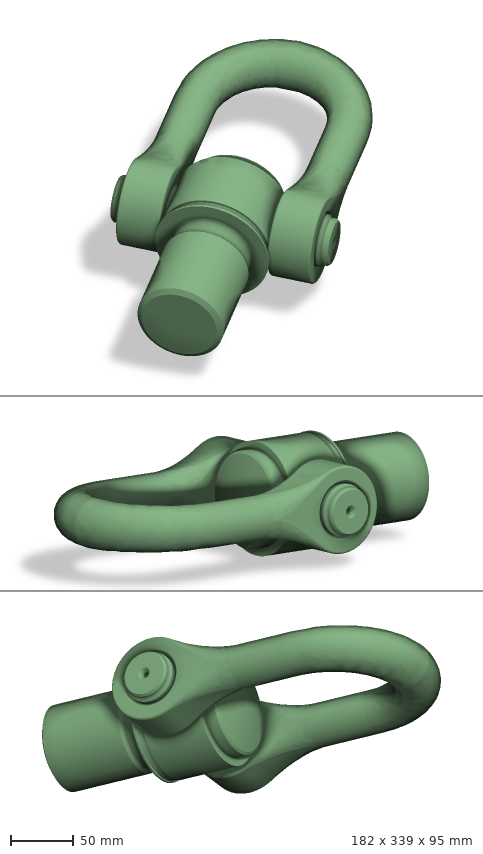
import cadquery as cq
import math


LEG_DIAMETER = 36.0
LEG_CENTER_X = 63.5
CROWN_DIAMETER = 40.5
CROWN_TOP_Y = 211.0
BOW_START_Y = 124.8
BOW_STEPS = 8
FLARE_START_Y = 73.0
FLARE_STEPS = 6
FLARE_FULLNESS = 1.4
EYE_DIAMETER = 72.0
EYE_FILLET = 2.0
SMALLEST_FLAT = 0.07

PIN_DIAMETER = 40.5
PIN_SPAN = 182.0
PIN_INNER_X = 31.5
PIN_TIP_DIAMETER = 36.0
PIN_HEAD_DIAMETER = 39.0
PIN_TIP_CHAMFER = 2.0
PIN_GROOVE_DIAMETER = 37.3
GROOVE_OUTER_X = 86.5
PIN_COLLAR_DIAMETER = 43.0
COLLAR_CYLINDER_X = 83.0
COLLAR_CONE_X = 85.5
COUNTERSINK_DIAMETER = 48.8
CENTER_HOLE_DIAMETER = 4.0
CENTER_HOLE_DEPTH = 6.8
CENTER_SINK_DIAMETER = 10.2

HOUSING_DIAMETER = 93.5
HOUSING_TOP_Y = 23.7
HOUSING_BOTTOM_Y = -30.0
HOUSING_ACROSS_FLATS = 89.5
BORE_DIAMETER = 56.3

SHANK_DIAMETER = 56.0
FLANGE_NECK_DIAMETER = 90.0
FLANGE_DIAMETER = 95.0
FLANGE_CONE_DIAMETER = 91.5
FLANGE_CONE_TOP_Y = -32.0
FLANGE_RIM_TOP_Y = -36.3
FLANGE_BOTTOM_Y = -38.0
UNDERCUT_DIAMETER = 67.0
UNDERCUT_CHAMFER = 1.0
UNDERCUT_END_Y = -52.2
THREAD_DIAMETER = 72.0
THREAD_START_Y = -55.3
THREAD_TIP_DIAMETER = 63.0
THREAD_CHAMFER = 2.7
BOLT_END_Y = -128.0

CAP_DIAMETER = 80.0
CAP_RIM_Y = 34.2
CAP_TOP_Y = 41.7
DOME_DIAMETER = 76.0
DOME_START_Y = 36.0

leg_radius = LEG_DIAMETER / 2
eye_radius = EYE_DIAMETER / 2
pin_radius = PIN_DIAMETER / 2
pin_outer_x = PIN_SPAN / 2
eye_inner_x = LEG_CENTER_X - leg_radius
eye_outer_x = LEG_CENTER_X + leg_radius

flare_radius = (FLARE_START_Y**2 + leg_radius**2 - eye_radius**2) / (2 * (eye_radius - leg_radius))
flare_end_y = FLARE_START_Y * eye_radius / (eye_radius + flare_radius)
flare_end_z = math.sqrt(eye_radius**2 - flare_end_y**2)
flare_length = FLARE_START_Y - flare_end_y

sink_bottom_x = eye_outer_x - (COUNTERSINK_DIAMETER - PIN_DIAMETER) / 2
collar_seat_x = sink_bottom_x + (PIN_COLLAR_DIAMETER - PIN_DIAMETER) / 2


def cylinder_x(diameter, x_start, x_end):
    """Cylinder on the X axis."""
    return cq.Workplane("YZ", origin=(x_start, 0, 0)).circle(diameter / 2).extrude(x_end - x_start)


def cylinder_y(diameter, y_start, y_end):
    """Cylinder on the Y axis."""
    return cq.Workplane("XZ", origin=(0, y_start, 0)).circle(diameter / 2).extrude(y_start - y_end)


def cone_x(x_start, diameter_start, x_end, diameter_end):
    """Truncated cone on the X axis."""
    profile = [(x_start, 0), (x_start, diameter_start / 2), (x_end, diameter_end / 2), (x_end, 0)]
    return cq.Workplane("XY").polyline(profile).close().revolve(360, (0, 0, 0), (1, 0, 0))


def bow_section(turn):
    """Circle across the bend, from the leg (turn = 0) to the crown (turn = 90 degrees)."""
    bend_height = CROWN_TOP_Y - CROWN_DIAMETER / 2 - BOW_START_Y
    center_x = LEG_CENTER_X * math.cos(turn)
    center_y = BOW_START_Y + bend_height * math.sin(turn)
    radius = leg_radius + (CROWN_DIAMETER - LEG_DIAMETER) / 2 * turn / (math.pi / 2)
    path_direction = cq.Vector(-LEG_CENTER_X * math.sin(turn), bend_height * math.cos(turn), 0)
    plane = cq.Plane((center_x, center_y, 0), (0, 0, -1), path_direction)
    return cq.Workplane(plane).circle(radius).wires().val()


def bow_half():
    """Quarter-ellipse bend that thickens from the +X leg to the crown."""
    turns = [math.pi / 2 * step / BOW_STEPS for step in range(BOW_STEPS + 1)]
    return cq.Workplane(cq.Solid.makeLoft([bow_section(turn) for turn in turns]))


def flare_section(y):
    """Rounded rectangle across the flare at height y."""
    sagitta = flare_radius - math.sqrt(flare_radius**2 - (FLARE_START_Y - y) ** 2)
    half_height = leg_radius + sagitta

    progress = (FLARE_START_Y - y) / flare_length
    side_share = FLARE_FULLNESS * progress**2 + (1 - FLARE_FULLNESS) * progress**4
    flat_x = SMALLEST_FLAT + (leg_radius - EYE_FILLET - SMALLEST_FLAT) * progress
    flat_z = SMALLEST_FLAT + (flare_end_z - EYE_FILLET - SMALLEST_FLAT) * side_share
    corner_x = leg_radius - flat_x
    corner_z = half_height - flat_z

    corners = [
        cq.Edge.makeEllipse(
            corner_x,
            corner_z,
            cq.Vector(LEG_CENTER_X + sign_x * flat_x, y, sign_z * flat_z),
            cq.Vector(0, -1, 0),
            cq.Vector(1, 0, 0),
            start_angle,
            start_angle + 90,
        )
        for sign_x, sign_z, start_angle in [(1, 1, 0), (-1, 1, 90), (-1, -1, 180), (1, -1, 270)]
    ]
    edges = []
    for corner, next_corner in zip(corners, corners[1:] + corners[:1]):
        edges += [corner, cq.Edge.makeLine(corner.endPoint(), next_corner.startPoint())]
    return cq.Wire.assembleEdges(edges)


def shackle_half():
    """The +X half of the shackle: bend, straight leg, flare and eye."""
    leg = cylinder_y(LEG_DIAMETER, FLARE_START_Y, BOW_START_Y).translate((LEG_CENTER_X, 0, 0))
    levels = [flare_end_y + flare_length * step / FLARE_STEPS for step in range(FLARE_STEPS + 1)]
    flare = cq.Workplane(cq.Solid.makeLoft([flare_section(y) for y in levels]))

    eye = cylinder_x(EYE_DIAMETER, eye_inner_x, eye_outer_x).edges().fillet(EYE_FILLET)
    below_flare = (
        cq.Workplane("XY")
        .box(LEG_DIAMETER, EYE_DIAMETER, EYE_DIAMETER)
        .translate((LEG_CENTER_X, flare_end_y - eye_radius, 0))
    )
    eye = eye.intersect(below_flare)

    return bow_half().union(leg).union(flare).union(eye)


def make_shackle():
    """Bent bar with an eye at each end, bored and countersunk for the pins."""
    half = shackle_half()
    shackle = half.union(half.mirror("YZ"))
    bore = cylinder_x(PIN_DIAMETER, eye_inner_x, eye_outer_x)
    sink = cone_x(sink_bottom_x, PIN_DIAMETER, eye_outer_x, COUNTERSINK_DIAMETER)
    cutter = bore.union(sink)
    return shackle.cut(cutter).cut(cutter.mirror("YZ"))


def make_housing():
    """Ring around the bolt, flattened beside the eyes and with a blind hole for each pin."""
    housing = cylinder_y(HOUSING_DIAMETER, HOUSING_BOTTOM_Y, HOUSING_TOP_Y)
    flats = cq.Workplane("XY").box(HOUSING_ACROSS_FLATS, HOUSING_DIAMETER, HOUSING_DIAMETER)
    bore = cylinder_y(BORE_DIAMETER, HOUSING_BOTTOM_Y, HOUSING_TOP_Y)
    pin_hole = cylinder_x(PIN_DIAMETER, PIN_INNER_X, HOUSING_DIAMETER / 2)
    return housing.intersect(flats).cut(bore).cut(pin_hole).cut(pin_hole.mirror("YZ"))


def make_bolt():
    """Threaded end, undercut, flange and a shank through the housing."""
    profile = [
        (0, HOUSING_TOP_Y),
        (SHANK_DIAMETER / 2, HOUSING_TOP_Y),
        (SHANK_DIAMETER / 2, HOUSING_BOTTOM_Y),
        (FLANGE_NECK_DIAMETER / 2, HOUSING_BOTTOM_Y),
        (FLANGE_NECK_DIAMETER / 2, FLANGE_CONE_TOP_Y),
        (FLANGE_CONE_DIAMETER / 2, FLANGE_RIM_TOP_Y),
        (FLANGE_DIAMETER / 2, FLANGE_RIM_TOP_Y),
        (FLANGE_DIAMETER / 2, FLANGE_BOTTOM_Y),
        (UNDERCUT_DIAMETER / 2 + UNDERCUT_CHAMFER, FLANGE_BOTTOM_Y),
        (UNDERCUT_DIAMETER / 2, FLANGE_BOTTOM_Y - UNDERCUT_CHAMFER),
        (UNDERCUT_DIAMETER / 2, UNDERCUT_END_Y),
        (THREAD_DIAMETER / 2, THREAD_START_Y),
        (THREAD_DIAMETER / 2, BOLT_END_Y + THREAD_CHAMFER),
        (THREAD_TIP_DIAMETER / 2, BOLT_END_Y),
        (0, BOLT_END_Y),
    ]
    return cq.Workplane("XY").polyline(profile).close().revolve(360, (0, 0, 0), (0, 1, 0))


def make_cap():
    """Domed disc that closes the top of the housing."""
    dome_height = CAP_TOP_Y - DOME_START_Y
    dome_edge = DOME_DIAMETER / 2
    dome_radius = (dome_edge**2 + dome_height**2) / (2 * dome_height)
    middle_x = dome_edge / 2
    middle_y = CAP_TOP_Y - dome_radius + math.sqrt(dome_radius**2 - middle_x**2)
    return (
        cq.Workplane("XY")
        .moveTo(0, HOUSING_TOP_Y)
        .lineTo(CAP_DIAMETER / 2, HOUSING_TOP_Y)
        .lineTo(CAP_DIAMETER / 2, CAP_RIM_Y)
        .lineTo(dome_edge, DOME_START_Y)
        .threePointArc((middle_x, middle_y), (0, CAP_TOP_Y))
        .close()
        .revolve(360, (0, 0, 0), (0, 1, 0))
    )


def make_pin():
    """The +X pin: seated in the housing, through the eye to a grooved head."""
    profile = [
        (PIN_INNER_X, 0),
        (PIN_INNER_X, pin_radius),
        (sink_bottom_x, pin_radius),
        (collar_seat_x, PIN_COLLAR_DIAMETER / 2),
        (COLLAR_CYLINDER_X, PIN_COLLAR_DIAMETER / 2),
        (COLLAR_CONE_X, PIN_GROOVE_DIAMETER / 2),
        (GROOVE_OUTER_X, PIN_GROOVE_DIAMETER / 2),
        (GROOVE_OUTER_X, PIN_HEAD_DIAMETER / 2),
        (pin_outer_x - PIN_TIP_CHAMFER, PIN_HEAD_DIAMETER / 2),
        (pin_outer_x, PIN_TIP_DIAMETER / 2),
        (pin_outer_x, 0),
    ]
    pin = cq.Workplane("XY").polyline(profile).close().revolve(360, (0, 0, 0), (1, 0, 0))
    center_hole = cylinder_x(CENTER_HOLE_DIAMETER, pin_outer_x - CENTER_HOLE_DEPTH, pin_outer_x)
    sink_depth = (CENTER_SINK_DIAMETER - CENTER_HOLE_DIAMETER) / 2
    center_sink = cone_x(pin_outer_x - sink_depth, CENTER_HOLE_DIAMETER, pin_outer_x, CENTER_SINK_DIAMETER)
    return pin.cut(center_hole).cut(center_sink)


shackle = make_shackle()
housing = make_housing()
bolt = make_bolt()
cap = make_cap()
pins = [make_pin().rotate((0, 0, 0), (0, 1, 0), angle) for angle in (0, 180)]

result = cq.Compound.makeCompound(
    [shackle.val(), housing.val(), bolt.val(), cap.val(), *[pin.val() for pin in pins]]
)